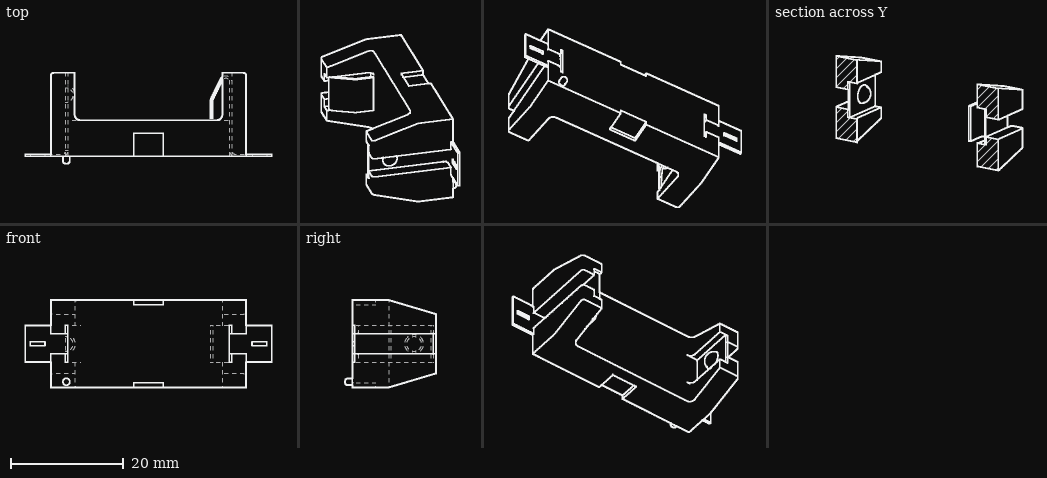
import cadquery as cq
import math


housing_length = 34.65
housing_width = 15.55
housing_height = 14.85
base_height = 6.45
post_length = 4.25
post_top_width = 10.55
post_tip_radius = 0.53
post_root_radius = 1.0

notch_length = 5.15
notch_height = 4.05
notch_depth = 0.85

peg_x = -14.57
peg_z = -6.75
peg_radius = 0.6
peg_length = 1.3
peg_tip_radius = 0.5

overall_length = 43.75
sheet = 0.4
inner_bend = 0.65
outer_bend = inner_bend + sheet
contact_width = 6.5
neck_width = 3.6
upright_outer_x = 14.75
tab_hole_x = 19.65
tab_hole_length = 2.6
tab_hole_width = 0.7

hairpin_y = 13.25
knee_y = 9.85
foot_end_y = 6.8
foot_left_x = 11.0

dimple_radius = 1.3
dimple_y = 10.9

half_length = housing_length / 2
half_width = housing_width / 2
post_inner_x = half_length - post_length
upright_inner_x = upright_outer_x - sheet
tab_end_x = overall_length / 2
tab_bend_x = upright_outer_x + inner_bend


def box(x_range, y_range, z_range):
    """Axis-aligned box given by its limits along each axis."""
    size = [high - low for low, high in (x_range, y_range, z_range)]
    corner = (x_range[0], y_range[0], z_range[0])
    return cq.Workplane("XY").box(*size, centered=False).translate(corner)


def across(width):
    """Z limits of a feature of this width centred on the part."""
    return (-width / 2, width / 2)


def mirrored_pair(right_hand):
    """A right-hand shape together with its mirror image on the left."""
    return [right_hand, right_hand.mirror("YZ")]


def polar(center, radius, angle):
    """Point at an angle in degrees on a circle in the XY plane."""
    turn = math.radians(angle)
    return (center[0] + radius * math.cos(turn), center[1] + radius * math.sin(turn))



def make_housing_shell():
    """Long base with a tapering post at each end."""
    cross_section = [
        (0, -half_width),
        (base_height, -half_width),
        (housing_height, -post_top_width / 2),
        (housing_height, post_top_width / 2),
        (base_height, half_width),
        (0, half_width),
    ]
    shell = (
        cq.Workplane("YZ")
        .polyline(cross_section)
        .close()
        .extrude(housing_length)
        .translate((-half_length, 0, 0))
    )
    shell = shell.faces(">Y").edges("|Z").fillet(post_tip_radius)

    cell_bay = box(
        (-post_inner_x, post_inner_x), (base_height, housing_height), across(housing_width)
    )
    return shell.cut(cell_bay.faces("<Y").edges("|Z").fillet(post_root_radius))


def make_contact_openings():
    """Right-hand openings: outer groove, upright slot and pocket behind the post face."""
    groove = box((upright_outer_x, half_length), (0, housing_height), across(neck_width))
    slot = box((upright_inner_x, upright_outer_x), (0, base_height), across(contact_width))
    pocket = box(
        (post_inner_x - post_root_radius, upright_outer_x),
        (base_height, housing_height),
        across(contact_width),
    )
    return groove.union(slot).union(pocket)


def make_notch(side):
    """Finger notch in the long side at +Z (side = 1) or -Z (side = -1)."""
    z_limits = sorted((side * half_width, side * (half_width - notch_depth)))
    return box((-notch_length / 2, notch_length / 2), (0, notch_height), z_limits)


def make_peg():
    """Round-tipped peg hanging below the base."""
    peg = cq.Workplane("XZ").center(peg_x, peg_z).circle(peg_radius).extrude(peg_length)
    return peg.faces("<Y").edges().fillet(peg_tip_radius)


def make_housing():
    housing = make_housing_shell()
    for openings in mirrored_pair(make_contact_openings()):
        housing = housing.cut(openings)
    for side in (-1, 1):
        housing = housing.cut(make_notch(side))
    return housing.union(make_peg())



def start_contact_profile():
    """Lower face of the tab and outside of its bend, ending at the foot of the upright."""
    bend_center = (tab_bend_x, outer_bend)
    return (
        cq.Workplane("XY")
        .moveTo(tab_end_x, 0)
        .lineTo(tab_bend_x, 0)
        .threePointArc(polar(bend_center, outer_bend, 225), (upright_inner_x, outer_bend))
    )


def finish_contact(profile):
    """Close a profile from the outer face of the upright, and cut the neck and tab hole."""
    bend_center = (tab_bend_x, outer_bend)
    contact = (
        profile.lineTo(upright_outer_x, outer_bend)
        .threePointArc(polar(bend_center, inner_bend, 225), (tab_bend_x, sheet))
        .lineTo(tab_end_x, sheet)
        .close()
        .extrude(contact_width / 2, both=True)
    )
    neck_x = (upright_inner_x, half_length)
    neck_y = (0, outer_bend)
    neck_sides = box(neck_x, neck_y, across(contact_width)).cut(box(neck_x, neck_y, across(neck_width)))
    hole_x = (tab_hole_x - tab_hole_length / 2, tab_hole_x + tab_hole_length / 2)
    tab_hole = box(hole_x, (0, sheet), across(tab_hole_width))
    return contact.cut(neck_sides).cut(tab_hole)


def make_spring_contact():
    """Right-hand contact: the upright folds over into a leaning arm with a straight foot."""
    hairpin = (upright_outer_x - outer_bend, hairpin_y)
    knee = (foot_left_x + outer_bend, knee_y)
    lean = math.degrees(math.atan2(hairpin[0] - knee[0], hairpin[1] - knee[1]))
    arm_normal = 180 - lean
    hairpin_mid = arm_normal / 2
    knee_mid = 180 - lean / 2

    profile = (
        start_contact_profile()
        .lineTo(upright_inner_x, hairpin_y)
        .threePointArc(polar(hairpin, inner_bend, hairpin_mid), polar(hairpin, inner_bend, arm_normal))
        .lineTo(*polar(knee, inner_bend, arm_normal))
        .threePointArc(polar(knee, inner_bend, knee_mid), polar(knee, inner_bend, 180))
        .lineTo(foot_left_x + sheet, foot_end_y)
        .lineTo(foot_left_x, foot_end_y)
        .lineTo(*polar(knee, outer_bend, 180))
        .threePointArc(polar(knee, outer_bend, knee_mid), polar(knee, outer_bend, arm_normal))
        .lineTo(*polar(hairpin, outer_bend, arm_normal))
        .threePointArc(polar(hairpin, outer_bend, hairpin_mid), (upright_outer_x, hairpin_y))
    )
    return finish_contact(profile)


def make_dimpled_contact():
    """Left-hand contact: flat upright with a dimple pressed towards the cell."""
    profile = (
        start_contact_profile()
        .lineTo(upright_inner_x, housing_height)
        .lineTo(upright_outer_x, housing_height)
    )
    contact = finish_contact(profile)

    dimple_center = (upright_outer_x, dimple_y, 0)
    hollow = cq.Workplane("XY").sphere(dimple_radius).translate(dimple_center)
    bump_radius = dimple_radius + sheet
    cell_side = box(
        (upright_outer_x - bump_radius, upright_outer_x),
        (dimple_y - bump_radius, dimple_y + bump_radius),
        (-bump_radius, bump_radius),
    )
    bump = cq.Workplane("XY").sphere(bump_radius).translate(dimple_center).intersect(cell_side)
    return contact.union(bump).cut(hollow).mirror("YZ")


housing = make_housing()
spring_contact = make_spring_contact()
dimpled_contact = make_dimpled_contact()

result = cq.Compound.makeCompound([
    housing.solids().val(),
    spring_contact.solids().val(),
    dimpled_contact.solids().val(),
])